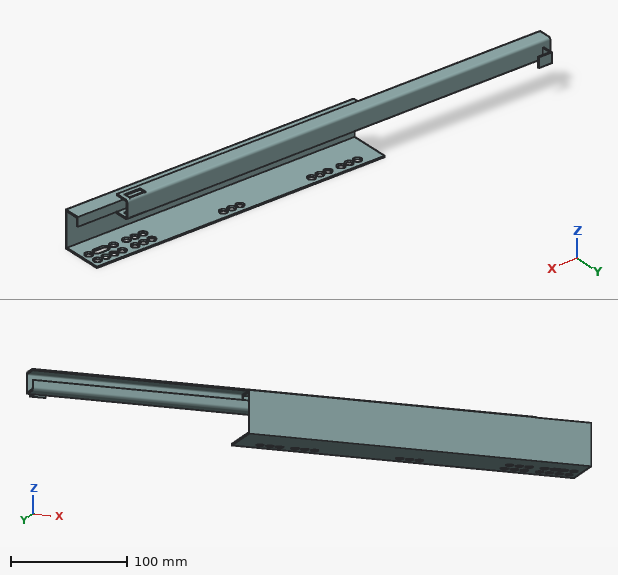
import cadquery as cq

total_length = 509.0
sheet = 1.5

channel_start = 195.0
channel_depth = 43.5
channel_height = 38.5
lip_face = 17.0
lip_bottom = 29.0

hole_diameter = 6.0
sink_diameter = 8.0
hole_pitch = 9.0
outer_row = 34.0
inner_row = 22.0
triple_centers = (226.5, 258.5, 355.0, 451.0)
quad_center = 487.5

rail_length = 461.5
rail_bottom = 23.0
rail_top = 42.0
rail_back = 25.5
top_flange_edge = 10.5
bottom_flange_edge = 9.0
rail_lip_top = 32.0
inner_bend = 1.25
outer_bend = inner_bend + sheet

window_start = 440.0
window_end = 457.0
window_near = 15.5
window_far = 23.0

hook_start = 7.0
hook_end = 21.5
hook_reach = 36.5
hook_bottom = 24.5
hook_top = 35.0


def box(x_range, y_range, z_range):
    """Axis-aligned block between the given limits."""
    (x0, x1), (y0, y1), (z0, z1) = x_range, y_range, z_range
    return cq.Workplane("XY").box(x1 - x0, y1 - y0, z1 - z0, centered=False).translate((x0, y0, z0))


def row_offsets(count):
    """Offsets of evenly pitched holes about their group center."""
    return [(i - (count - 1) / 2) * hole_pitch for i in range(count)]


def sink_cutter(x, y):
    """Cone that cuts one countersunk hole through the channel floor."""
    base = cq.Vector(x, y, 0)
    cone = cq.Solid.makeCone(hole_diameter / 2, sink_diameter / 2, sheet, pnt=base, dir=cq.Vector(0, 0, 1))
    return cq.Workplane(cone)


def slot_cutter(x, y, travel):
    """Countersunk slot: two cones joined by a straight tapered stretch."""
    section = [
        (-hole_diameter / 2, 0),
        (hole_diameter / 2, 0),
        (sink_diameter / 2, sheet),
        (-sink_diameter / 2, sheet),
    ]
    start = x - travel / 2
    straight = cq.Workplane("YZ", origin=(start, y, 0)).polyline(section).close().extrude(travel)
    return straight.union(sink_cutter(start, y)).union(sink_cutter(start + travel, y))


def hole_places():
    """Centers of all round holes: the outer row, then the shorter inner row."""
    triple = row_offsets(3)
    quad = row_offsets(4)
    places = [(center + offset, outer_row) for center in triple_centers for offset in triple]
    places += [(quad_center + offset, outer_row) for offset in quad]
    places += [(triple_centers[-1] + offset, inner_row) for offset in triple]
    places += [(quad_center + offset, inner_row) for offset in (quad[0], quad[-1])]
    return places


def make_channel():
    outline = [
        (0, 0),
        (channel_depth, 0),
        (channel_depth, sheet),
        (sheet, sheet),
        (sheet, channel_height - sheet),
        (lip_face - sheet, channel_height - sheet),
        (lip_face - sheet, lip_bottom),
        (lip_face, lip_bottom),
        (lip_face, channel_height),
        (0, channel_height),
    ]
    length = total_length - channel_start
    body = cq.Workplane("YZ", origin=(channel_start, 0, 0)).polyline(outline).close().extrude(length)
    for x, y in hole_places():
        body = body.cut(sink_cutter(x, y))
    return body.cut(slot_cutter(quad_center, inner_row, hole_pitch))


def bend_corners(block, radius):
    """Round every lengthwise corner except the top one at the free flange edge."""
    return block.edges("|X and >Y").fillet(radius).edges("|X and <Y and <Z").fillet(radius)


def make_rail_profile():
    """Bent C section: top flange, back wall, bottom flange and upturned lip."""
    lip_inside = bottom_flange_edge + sheet
    along = (0, rail_length)
    outer = box(along, (bottom_flange_edge, rail_back), (rail_bottom, rail_top))
    inner = box(along, (lip_inside, rail_back - sheet), (rail_bottom + sheet, rail_top - sheet))
    tube = bend_corners(outer, outer_bend).cut(bend_corners(inner, inner_bend))
    front_opening = box(along, (bottom_flange_edge, top_flange_edge), (rail_lip_top, rail_top))
    return tube.cut(front_opening)


def make_hook():
    """L-shaped bracket: an arm standing off the wall and a leg parallel to it."""
    height = (hook_bottom, hook_top)
    wall_middle = rail_back - sheet / 2
    arm = box((hook_start, hook_start + sheet), (wall_middle, hook_reach), height)
    leg = box((hook_start, hook_end), (hook_reach - sheet, hook_reach), height)
    return arm.union(leg)


def make_rail():
    window = box((window_start, window_end), (window_near, window_far), (rail_bottom, rail_top))
    return make_rail_profile().cut(window).union(make_hook())


channel = make_channel()
rail = make_rail()
result = cq.Compound.makeCompound([channel.solids().val(), rail.solids().val()])